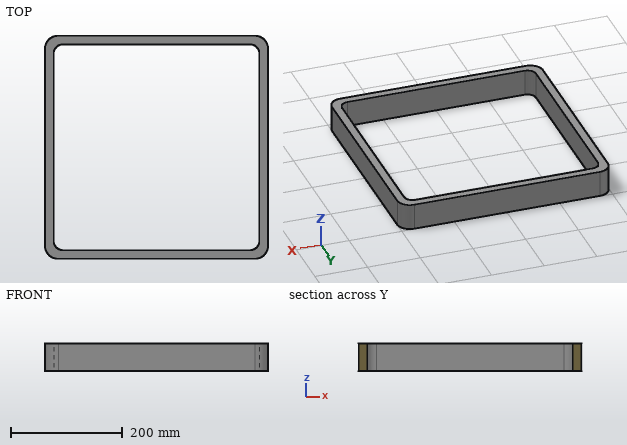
import cadquery as cq

side = 400.0
height = 50.0
wall = 16.0
outer_radius = 24.0
inner_radius = 16.0

opening = side - 2 * wall


def rounded_block(width, corner_radius):
    """Square block of the frame's height with rounded vertical edges."""
    block = cq.Workplane("XY").rect(width, width).extrude(height)
    return block.edges("|Z").fillet(corner_radius)


result = rounded_block(side, outer_radius).cut(rounded_block(opening, inner_radius))